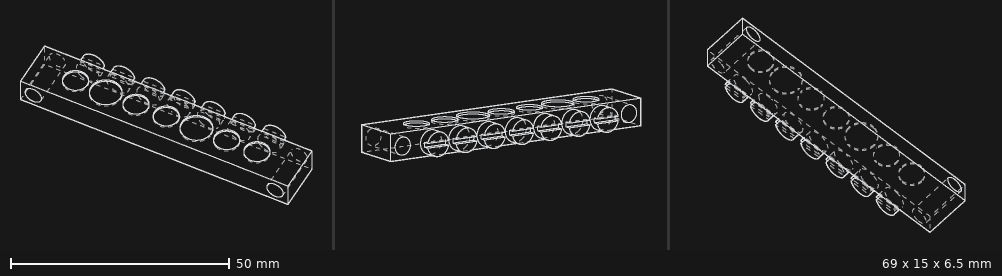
import cadquery as cq

bar_length = 69.0
bar_depth = 12.0
bar_height = 6.5
mid_depth = bar_depth / 2
mid_height = bar_height / 2

station_count = 7
station_pitch = 7.8
large_stations = (1, 4)

head_diameter = 5.8
head_length = 3.0
slot_width = 1.1
slot_depth = 1.3

small_recess_diameter = 6.0
large_recess_diameter = 7.5
recess_depth = 0.5

mount_diameter = 4.2
mount_inset = 3.3

station_xs = [(i - (station_count - 1) / 2) * station_pitch for i in range(station_count)]
mount_x = bar_length / 2 - mount_inset


def make_bar():
    return cq.Workplane("XY").box(bar_length, bar_depth, bar_height, centered=(True, False, False))


def rod_along_depth(x, start_y, diameter, length):
    """Cylinder at mid height, running in +Y from start_y."""
    axis_start = cq.Vector(x, start_y, mid_height)
    return cq.Workplane(cq.Solid.makeCylinder(diameter / 2, length, axis_start, cq.Vector(0, 1, 0)))


def screw_head(x):
    """Cylindrical head on the rear face with a slot running along X."""
    head = rod_along_depth(x, bar_depth, head_diameter, head_length)
    slot = (
        cq.Workplane("XY")
        .box(head_diameter, slot_depth, slot_width, centered=(True, False, True))
        .translate((x, bar_depth + head_length - slot_depth, mid_height))
    )
    return head.cut(slot)


def recess(x, diameter):
    """Cutter for a round recess sunk into the top face."""
    floor = cq.Vector(x, mid_depth, bar_height - recess_depth)
    return cq.Workplane(cq.Solid.makeCylinder(diameter / 2, recess_depth, floor))


result = make_bar()

for mount_hole_x in (-mount_x, mount_x):
    result = result.cut(rod_along_depth(mount_hole_x, 0, mount_diameter, bar_depth))

for station, station_x in enumerate(station_xs):
    recess_diameter = large_recess_diameter if station in large_stations else small_recess_diameter
    result = result.cut(recess(station_x, recess_diameter))
    result = result.union(screw_head(station_x))